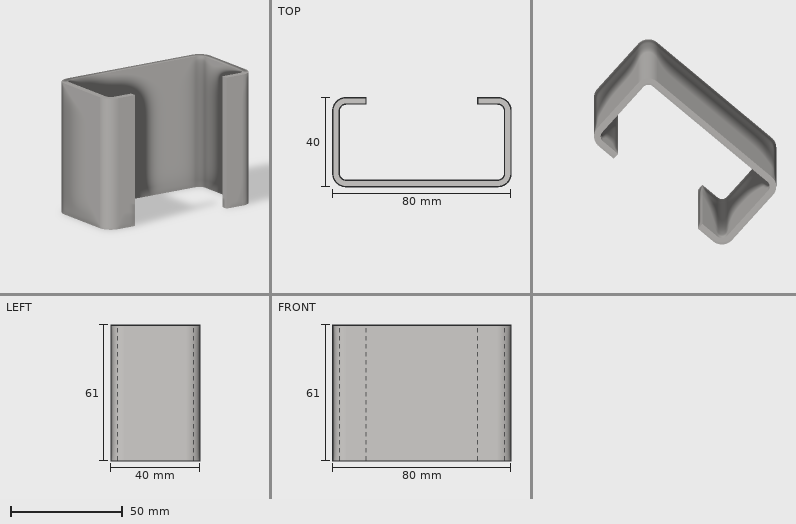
import cadquery as cq

width = 80.0
depth = 40.0
height = 61.0
thickness = 3.0
inner_radius = 3.0
lip_length = 15.0

outer_radius = inner_radius + thickness
opening_width = width - 2 * lip_length


def rounded_bar(size_x, size_y, corner_radius):
    """Full-height rectangular bar with rounded vertical edges."""
    return (
        cq.Workplane("XY")
        .rect(size_x, size_y)
        .extrude(height)
        .edges("|Z")
        .fillet(corner_radius)
    )


def closed_tube():
    """Rectangular tube with an even wall and concentric corner bends."""
    outside = rounded_bar(width, depth, outer_radius)
    inside = rounded_bar(width - 2 * thickness, depth - 2 * thickness, inner_radius)
    return outside.cut(inside)


def lip_opening():
    """Block that removes the middle of the +Y wall, leaving the two lips."""
    return (
        cq.Workplane("XY")
        .center(0, depth / 2 - thickness / 2)
        .rect(opening_width, thickness)
        .extrude(height)
    )


result = closed_tube().cut(lip_opening())